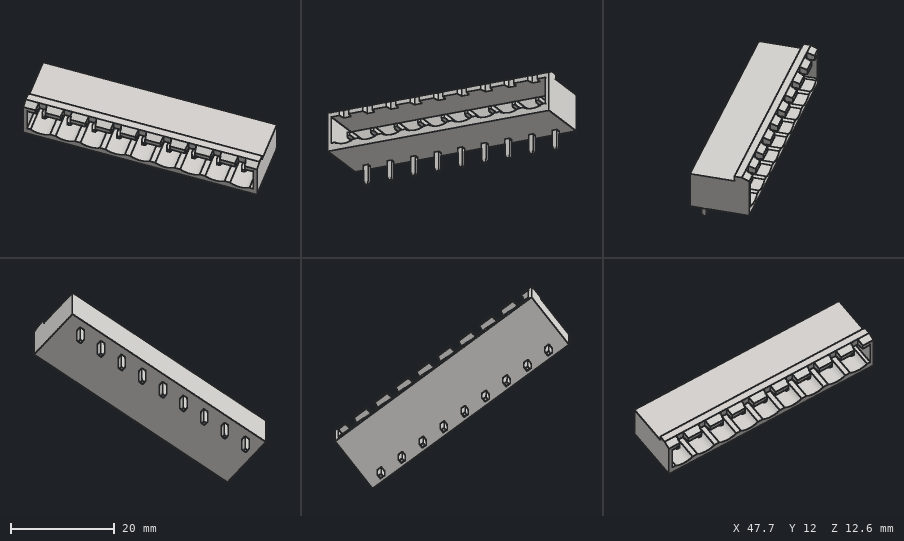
import cadquery as cq

length = 47.7
depth = 12.0
body_height = 8.65
overall_height = 12.6

lip_length = 3.0
lip_step = 1.05
lip_slope_run = 1.5
lip_slope_drop = 0.6

contact_count = 9
end_contact_inset = 3.55
pitch = (length - 2 * end_contact_inset) / (contact_count - 1)
contact_xs = [end_contact_inset - length / 2 + i * pitch for i in range(contact_count)]

side_wall = 0.8
roof_thickness = 1.6
ledge_height = 1.6
cavity_depth = 8.6

channel_width = 3.95
channel_sag = 0.55

slot_back_width = 1.55
slot_front_width = 2.0

pin_width = 1.0
pin_tip_width = 0.6
pin_tip_length = 0.6
pin_height = 3.75
pin_tip_y = 2.0
tail_inset = 1.95
tail_length = overall_height - body_height

front_y = 0.0
tail_y = depth - tail_inset


def make_housing():
    """Side profile with the stepped, sloped lip, extruded along the row."""
    profile = [
        (front_y, 0),
        (depth, 0),
        (depth, body_height - lip_step),
        (lip_length, body_height - lip_step),
        (lip_length, body_height),
        (lip_slope_run, body_height),
        (front_y, body_height - lip_slope_drop),
    ]
    return cq.Workplane("YZ").polyline(profile).close().extrude(length / 2, both=True)


def make_cavity():
    """Cavity outline with a scooped floor, extruded back from the mating face."""
    half_width = length / 2 - side_wall
    roof_z = body_height - roof_thickness
    outline = cq.Workplane("XZ").moveTo(-half_width, roof_z).lineTo(-half_width, ledge_height)
    for x in contact_xs:
        outline = outline.lineTo(x - channel_width / 2, ledge_height).threePointArc(
            (x, ledge_height - channel_sag), (x + channel_width / 2, ledge_height)
        )
    outline = outline.lineTo(half_width, ledge_height).lineTo(half_width, roof_z)
    return outline.close().extrude(-cavity_depth)


def make_slot(x):
    """Flared slot from the top of the lip down into the cavity."""
    outline = [
        (x - slot_front_width / 2, front_y),
        (x + slot_front_width / 2, front_y),
        (x + slot_back_width / 2, lip_slope_run),
        (x - slot_back_width / 2, lip_slope_run),
    ]
    roof = cq.Workplane("XY").workplane(offset=body_height - roof_thickness)
    return roof.polyline(outline).close().extrude(roof_thickness)


def make_square_pin(base, length_to_tip):
    """Square bar along the normal of the base workplane, ending in a tapered tip."""
    shank_length = length_to_tip - pin_tip_length
    shank = base.rect(pin_width, pin_width).extrude(shank_length)
    tip = (
        base.workplane(offset=shank_length)
        .rect(pin_width, pin_width)
        .workplane(offset=pin_tip_length)
        .rect(pin_tip_width, pin_tip_width)
        .loft()
    )
    return shank.union(tip)


def make_contact(x):
    """Right-angle contact: a horizontal mating pin and a solder tail below."""
    bend = (x, tail_y, pin_height)
    mating_pin = make_square_pin(cq.Workplane("XZ", origin=bend), tail_y - pin_tip_y)
    tail = make_square_pin(cq.Workplane("XY", origin=bend).transformed(rotate=(180, 0, 0)),
                           pin_height + tail_length)
    return mating_pin.union(tail)


result = make_housing().cut(make_cavity())
for contact_x in contact_xs:
    result = result.cut(make_slot(contact_x))
for contact_x in contact_xs:
    result = result.union(make_contact(contact_x))